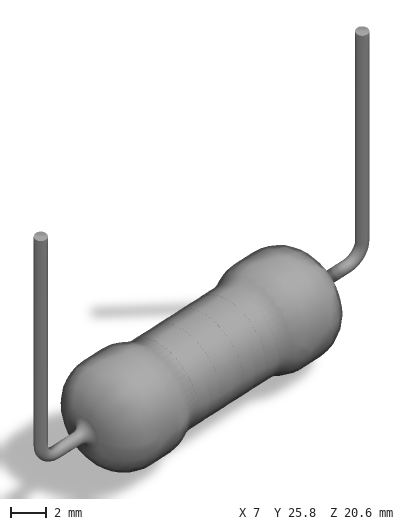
import cadquery as cq
import math


cap_radius = 7.0 / 2
waist_radius = 5.95 / 2
body_half_length = 9.0
cap_round_radius = 2.4
cap_inner_y = 5.15
waist_half_length = 3.1

band_radius = 5.97 / 2
band_count = 4

lead_radius = 0.8 / 2
lead_y = 25.0 / 2
lead_bend_radius = 1.2
lead_top_z = 17.1

collar_rim_radius = cap_radius - cap_round_radius
collar_radius = collar_rim_radius - lead_radius
collar_end_y = body_half_length + collar_radius

diagonal = math.sqrt(0.5)


def make_cap():
    """Revolve the +Y cap and collar; the profile has radius along X and its axis along Y."""
    cap_round_y = body_half_length - cap_round_radius

    shoulder_mid_y = (waist_half_length + cap_inner_y) / 2
    shoulder_mid_radius = (waist_radius + cap_radius) / 2

    cap_round_mid = (
        collar_rim_radius + cap_round_radius * diagonal,
        cap_round_y + cap_round_radius * diagonal,
    )
    collar_mid = (
        collar_rim_radius - collar_radius * diagonal,
        collar_end_y - collar_radius * diagonal,
    )

    profile = (
        cq.Workplane("XY")
        .moveTo(0, collar_end_y)
        .lineTo(lead_radius, collar_end_y)
        .threePointArc(collar_mid, (collar_rim_radius, body_half_length))
        .threePointArc(cap_round_mid, (cap_radius, cap_round_y))
        .lineTo(cap_radius, cap_inner_y)
        .tangentArcPoint((shoulder_mid_radius, shoulder_mid_y), relative=False)
        .tangentArcPoint((waist_radius, waist_half_length), relative=False)
        .lineTo(0, waist_half_length)
        .close()
    )
    return profile.revolve(360, (0, 0, 0), (0, 1, 0))


def make_waist():
    """Plain cylinder joining the two caps."""
    return cq.Workplane("XZ").circle(waist_radius).extrude(waist_half_length, both=True)


def add_bands(body):
    """Add the bands; they and the gaps between them share the waist length equally."""
    band_width = 2 * waist_half_length / (2 * band_count - 1)
    for index in range(band_count):
        start_y = -waist_half_length + 2 * index * band_width
        band = (
            cq.Workplane("XZ", origin=(0, start_y, 0))
            .circle(band_radius)
            .extrude(-band_width)
        )
        body = body.union(band)
    return body


def make_lead():
    """Lead on the +Y side: out of the collar, round the bend and straight up."""
    bend_start_y = lead_y - lead_bend_radius
    bend_mid = (
        bend_start_y + lead_bend_radius * diagonal,
        lead_bend_radius * (1 - diagonal),
    )
    path = (
        cq.Workplane("YZ")
        .moveTo(collar_end_y, 0)
        .lineTo(bend_start_y, 0)
        .threePointArc(bend_mid, (lead_y, lead_bend_radius))
        .lineTo(lead_y, lead_top_z)
    )
    section = cq.Workplane("XZ", origin=(0, collar_end_y, 0)).circle(lead_radius)
    return section.sweep(path)


cap = make_cap()
lead = make_lead()
result = add_bands(make_waist())
for end_part in (cap, lead):
    result = result.union(end_part).union(end_part.mirror("XZ"))